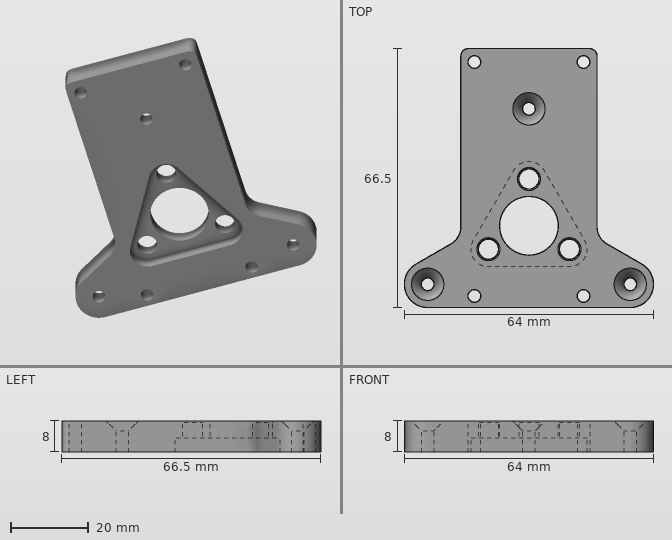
import cadquery as cq
import math

THICKNESS = 8.0
BODY_WIDTH = 35.0
TOP_EDGE_Y = 45.5
TOP_CORNER_RADIUS = 2.0
EAR_RADIUS = 6.0
EAR_FLANK_ANGLE = math.radians(30)
NECK_FILLET_RADIUS = 5.0

MAIN_BORE_DIAMETER = 15.0
MOUNT_CIRCLE_RADIUS = 30.0
MOUNT_HOLE_DIAMETER = 3.2
COUNTERSINK_DIAMETER = 8.3
COUNTERSINK_ANGLE = 90.0
INNER_CIRCLE_RADIUS = 12.0
INNER_HOLE_DIAMETER = 5.1
INNER_HOLE_CHAMFER = 0.4
INNER_HOLE_RIM_DIAMETER = INNER_HOLE_DIAMETER + 2 * INNER_HOLE_CHAMFER
INNER_HOLE_RIM_ANGLE = 90.0
CORNER_HOLE_DIAMETER = 3.2
CORNER_HOLE_SPACING_X = 28.0
CORNER_HOLE_SPACING_Y = 60.0
CORNER_HOLE_CENTRE_Y = 12.0

RECESS_DEPTH = 3.6
RECESS_CORNER_RADIUS = 4.5


def three_on_circle(radius):
    """Three equally spaced points, the first one on +Y."""
    angles = [math.radians(90 + 120 * i) for i in range(3)]
    return [(radius * math.cos(a), radius * math.sin(a)) for a in angles]


def make_plate():
    """T-shaped plate with two rounded ears at the lower edge."""
    half_width = BODY_WIDTH / 2
    _, (left_ear_x, ear_y), (right_ear_x, _) = three_on_circle(MOUNT_CIRCLE_RADIUS)
    bottom_y = ear_y - EAR_RADIUS

    flank_x = right_ear_x + EAR_RADIUS * math.sin(EAR_FLANK_ANGLE)
    flank_y = ear_y + EAR_RADIUS * math.cos(EAR_FLANK_ANGLE)
    neck_y = flank_y + (flank_x - half_width) * math.tan(EAR_FLANK_ANGLE)

    mid_angle = -EAR_FLANK_ANGLE / 2
    mid_x = right_ear_x + EAR_RADIUS * math.cos(mid_angle)
    mid_y = ear_y + EAR_RADIUS * math.sin(mid_angle)

    plate = (
        cq.Workplane("XY")
        .moveTo(left_ear_x, bottom_y)
        .lineTo(right_ear_x, bottom_y)
        .threePointArc((mid_x, mid_y), (flank_x, flank_y))
        .lineTo(half_width, neck_y)
        .lineTo(half_width, TOP_EDGE_Y)
        .lineTo(-half_width, TOP_EDGE_Y)
        .lineTo(-half_width, neck_y)
        .lineTo(-flank_x, flank_y)
        .threePointArc((-mid_x, mid_y), (left_ear_x, bottom_y))
        .close()
        .extrude(THICKNESS)
    )
    for neck_x in (-half_width, half_width):
        neck_edge = cq.selectors.NearestToPointSelector((neck_x, neck_y, THICKNESS / 2))
        plate = plate.edges(neck_edge).fillet(NECK_FILLET_RADIUS)
    return plate.edges("|Z and >Y").fillet(TOP_CORNER_RADIUS)


def cut_recess(plate):
    """Triangular recess whose corners are rounded about the inner hole centres."""
    recess = (
        cq.Workplane("XY")
        .polyline(three_on_circle(INNER_CIRCLE_RADIUS))
        .close()
        .offset2D(RECESS_CORNER_RADIUS)
        .extrude(RECESS_DEPTH)
    )
    return plate.cut(recess)


def top_face(plate):
    """Workplane on the upper face, centred on the main bore."""
    return plate.faces(">Z").workplane(origin=(0, 0, THICKNESS))


def cut_main_bore(plate):
    return top_face(plate).hole(MAIN_BORE_DIAMETER)


def cut_mount_holes(plate):
    """Countersunk screw holes, one near the top and one in each ear."""
    return (
        top_face(plate)
        .pushPoints(three_on_circle(MOUNT_CIRCLE_RADIUS))
        .cskHole(MOUNT_HOLE_DIAMETER, COUNTERSINK_DIAMETER, COUNTERSINK_ANGLE)
    )


def cut_inner_holes(plate):
    """Holes around the main bore, with a chamfered upper rim."""
    return (
        top_face(plate)
        .pushPoints(three_on_circle(INNER_CIRCLE_RADIUS))
        .cskHole(INNER_HOLE_DIAMETER, INNER_HOLE_RIM_DIAMETER, INNER_HOLE_RIM_ANGLE)
    )


def cut_corner_holes(plate):
    """Plain through holes at the corners of a rectangle."""
    return (
        top_face(plate)
        .center(0, CORNER_HOLE_CENTRE_Y)
        .rect(CORNER_HOLE_SPACING_X, CORNER_HOLE_SPACING_Y, forConstruction=True)
        .vertices()
        .hole(CORNER_HOLE_DIAMETER)
    )


result = make_plate()
result = cut_recess(result)
result = cut_main_bore(result)
result = cut_mount_holes(result)
result = cut_inner_holes(result)
result = cut_corner_holes(result)